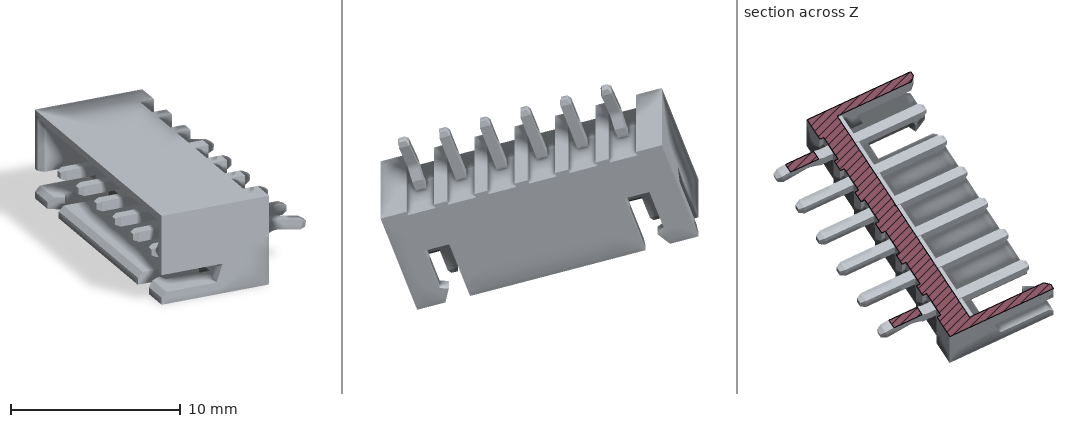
import cadquery as cq
import math


LENGTH = 17.4
DEPTH = 7.0
HEIGHT = 5.7
SIDE_WALL = 0.66
TOP_WALL = 0.76
FLOOR = 0.76
CAVITY_DEPTH = 5.0
LEDGE_Z = 2.68
LEDGE_WIDTH = 0.3
MOUTH_CHAMFER = 0.32

PIN_COUNT = 6
PITCH = 2.5
PIN_SIZE = 0.64
PIN_Z = 2.4
PIN_FRONT_Y = 0.4
TIP_LENGTH = 0.33
TIP_TAPER = 21.0
STRAIGHT_PIN_REACH = 3.38

KINK_START = 0.4
RIGHT_KINK_SHIFT = 0.05
RISE_ANGLE = 22.0
RISE_RUN = 0.88
FALL_ANGLE = 10.0
FALL_RUN = 1.79
CREST_RADIUS = 0.8

WINDOW_TOP = 1.9
WINDOW_DEPTH_TOP = 3.97
WINDOW_DEPTH_BOTTOM = 3.58

SLIT_END = 3.97
SLIT_INNER_X = 5.43
ARM_INNER_X = 6.95
BARB_X = 6.45
BARB_TIP_X = ARM_INNER_X
BARB_Y = 0.9
BARB_BACK_Y = 1.1

NOTCH_WIDTH = 1.7
NOTCH_DEPTH_TOP = 0.93
NOTCH_DEPTH_BOTTOM = 0.26
NOTCH_SLOPE_END_Z = 3.1

MARGIN = 0.01

PIN_XS = [(i - (PIN_COUNT - 1) / 2) * PITCH for i in range(PIN_COUNT)]


def side_prism(points, x_centre, width):
    """Extrude a (Y, Z) outline along X, centred on x_centre."""
    prism = cq.Workplane("YZ").polyline(points).close().extrude(width / 2, both=True)
    return prism.translate((x_centre, 0, 0))


def make_shell():
    """Box with a stepped cavity open at the front, its mouth chamfered on the top and both sides."""
    box = cq.Workplane("XY").box(LENGTH, DEPTH, HEIGHT, centered=(True, False, False))
    cavity_width = LENGTH - 2 * SIDE_WALL
    cavity_height = HEIGHT - TOP_WALL - FLOOR
    cavity = (
        cq.Workplane("XY", origin=(0, 0, FLOOR))
        .box(cavity_width, CAVITY_DEPTH, cavity_height, centered=(True, False, False))
    )
    upper_recess = (
        cq.Workplane("XY", origin=(0, CAVITY_DEPTH, LEDGE_Z))
        .box(cavity_width, LEDGE_WIDTH, HEIGHT - TOP_WALL - LEDGE_Z, centered=(True, False, False))
    )
    shell = box.cut(cavity).cut(upper_recess)
    mouth_low = (-LENGTH / 2 + MARGIN, -MARGIN, FLOOR + MARGIN)
    mouth_high = (LENGTH / 2 - MARGIN, MARGIN, HEIGHT - MARGIN)
    mouth_edges = shell.edges(cq.selectors.BoxSelector(mouth_low, mouth_high))
    return mouth_edges.chamfer(MOUTH_CHAMFER)


def floor_lip_cut():
    """Bevel along the top front edge of the floor."""
    bevel = [(0, FLOOR), (MOUTH_CHAMFER, FLOOR), (0, FLOOR - MOUTH_CHAMFER)]
    return side_prism(bevel, 0, LENGTH)


def window_cut(side):
    """Front-opening window with a slanted end through one side wall."""
    outline = [
        (0, FLOOR),
        (WINDOW_DEPTH_BOTTOM, FLOOR),
        (WINDOW_DEPTH_TOP, WINDOW_TOP),
        (0, WINDOW_TOP),
    ]
    return side_prism(outline, side * (LENGTH - SIDE_WALL) / 2, SIDE_WALL)


def slit_cut():
    """Floor slit on the +X side, leaving a barb at the end of the latch arm."""
    outline = [
        (SLIT_INNER_X, 0),
        (BARB_TIP_X, 0),
        (BARB_X, BARB_Y),
        (ARM_INNER_X, BARB_BACK_Y),
        (ARM_INNER_X, SLIT_END),
        (SLIT_INNER_X, SLIT_END),
    ]
    return cq.Workplane("XY").polyline(outline).close().extrude(FLOOR)


def rear_notch_cut(x):
    """Full-height notch behind a pin, its wall leaning back above the pin."""
    outline = [
        (DEPTH, 0),
        (DEPTH, HEIGHT),
        (DEPTH - NOTCH_DEPTH_TOP, HEIGHT),
        (DEPTH - NOTCH_DEPTH_BOTTOM, NOTCH_SLOPE_END_Z),
        (DEPTH - NOTCH_DEPTH_BOTTOM, 0),
    ]
    return side_prism(outline, x, NOTCH_WIDTH)


def pin_tip(x, y, z, angle, facing):
    """Tapered tip on a pin end at (y, z); facing is +1 rearward, -1 forward."""
    slope = math.radians(angle)
    normal = (0, facing * math.cos(slope), facing * math.sin(slope))
    plane = cq.Plane(origin=(x, y, z), xDir=(1, 0, 0), normal=normal)
    return cq.Workplane(plane).rect(PIN_SIZE, PIN_SIZE).extrude(TIP_LENGTH, taper=TIP_TAPER)


def straight_pin(x, rear_y):
    """Square bar from the front tip to rear_y, without a rear tip."""
    front_y = PIN_FRONT_Y + TIP_LENGTH
    low = PIN_Z - PIN_SIZE / 2
    high = PIN_Z + PIN_SIZE / 2
    bar = side_prism([(front_y, low), (rear_y, low), (rear_y, high), (front_y, high)], x, PIN_SIZE)
    return bar.union(pin_tip(x, front_y, PIN_Z, 0, -1))


def plain_pin(x):
    """Pin that runs straight out of the rear."""
    rear_y = DEPTH + STRAIGHT_PIN_REACH - TIP_LENGTH
    return straight_pin(x, rear_y).union(pin_tip(x, rear_y, PIN_Z, 0, 1))


def kinked_pin(x, kink_start):
    """Pin whose rear part rises to a rounded crest and falls again to hold in a board."""
    rise = math.radians(RISE_ANGLE)
    fall = math.radians(FALL_ANGLE)
    start_y = DEPTH + kink_start
    crest_y = start_y + RISE_RUN
    crest_z = PIN_Z + RISE_RUN * math.tan(rise)
    end_y = crest_y + FALL_RUN
    end_z = crest_z - FALL_RUN * math.tan(fall)

    def edge_points(offset):
        """Kink outline at a signed distance from the centre line, mitred at each bend."""
        crest_lean = (rise - fall) / 2
        crest_mitre = offset / math.cos((rise + fall) / 2)
        return [
            (start_y - offset * math.tan(rise / 2), PIN_Z + offset),
            (crest_y - crest_mitre * math.sin(crest_lean), crest_z + crest_mitre * math.cos(crest_lean)),
            (end_y + offset * math.sin(fall), end_z + offset * math.cos(fall)),
        ]

    upper = edge_points(PIN_SIZE / 2)
    lower = edge_points(-PIN_SIZE / 2)
    kink = side_prism(upper + lower[::-1], x, PIN_SIZE)
    for y, z in (upper[1], lower[1]):
        low = (x - PIN_SIZE, y - MARGIN, z - MARGIN)
        high = (x + PIN_SIZE, y + MARGIN, z + MARGIN)
        kink = kink.edges(cq.selectors.BoxSelector(low, high)).fillet(CREST_RADIUS)
    bar = straight_pin(x, upper[0][0])
    wedge = side_prism([upper[0], lower[0], (upper[0][0], lower[0][1])], x, PIN_SIZE)
    return bar.union(wedge).union(kink).union(pin_tip(x, end_y, end_z, -FALL_ANGLE, 1))


def make_housing():
    """Shell with its bevel, windows, latch slits and rear notches."""
    slit = slit_cut()
    housing = make_shell().cut(floor_lip_cut())
    housing = housing.cut(window_cut(1)).cut(window_cut(-1))
    housing = housing.cut(slit).cut(slit.mirror("YZ"))
    for x in PIN_XS:
        housing = housing.cut(rear_notch_cut(x))
    return housing


result = make_housing()
result = result.union(kinked_pin(PIN_XS[0], KINK_START))
for pin_x in PIN_XS[1:-1]:
    result = result.union(plain_pin(pin_x))
result = result.union(kinked_pin(PIN_XS[-1], KINK_START + RIGHT_KINK_SHIFT))